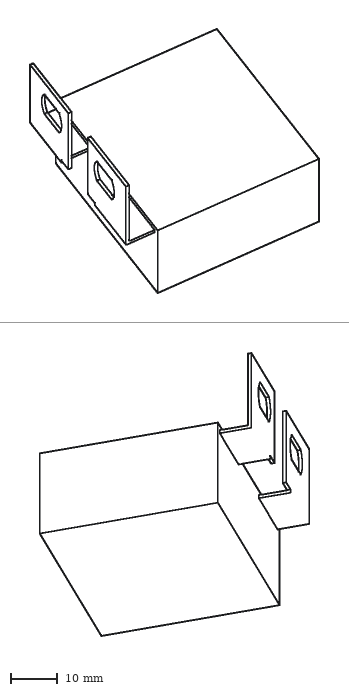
import cadquery as cq

HOUSING_WIDTH = 43.0
HOUSING_DEPTH = 40.05
HOUSING_HEIGHT = 20.35

OVERALL_DEPTH = 47.2
OVERALL_HEIGHT = 37.4
SHEET_THICKNESS = 0.8
BEND_RADIUS = 0.2
EDGE_INSET = 1.3
LEG_WIDTH = 13.1
LEG_TOP_DROP = 1.15
PLATE_WIDTH = 16.15

HOLE_WIDTH = 8.4
HOLE_HEIGHT = 6.3
HOLE_FLAT_LENGTH = 6.25
HOLE_TOP_DROP = 6.95
HOLE_INSET = 9.1

REACH = OVERALL_DEPTH - HOUSING_DEPTH
LEG_TOP = HOUSING_HEIGHT - LEG_TOP_DROP
LEG_BOTTOM = LEG_TOP - SHEET_THICKNESS
OUTER_EDGE = -HOUSING_WIDTH / 2 + EDGE_INSET


def make_housing():
    return cq.Workplane("XY").box(
        HOUSING_WIDTH, HOUSING_DEPTH, HOUSING_HEIGHT, centered=(True, False, False)
    )


def make_bent_strip():
    """L-shaped strip as wide as the leg, rounded inside and outside the bend."""
    plate_back = SHEET_THICKNESS - REACH
    return (
        cq.Workplane("YZ", origin=(OUTER_EDGE, 0, 0))
        .moveTo(0, LEG_BOTTOM)
        .lineTo(BEND_RADIUS - REACH, LEG_BOTTOM)
        .radiusArc((-REACH, LEG_BOTTOM + BEND_RADIUS), BEND_RADIUS)
        .lineTo(-REACH, OVERALL_HEIGHT)
        .lineTo(plate_back, OVERALL_HEIGHT)
        .lineTo(plate_back, LEG_TOP + BEND_RADIUS)
        .radiusArc((plate_back + BEND_RADIUS, LEG_TOP), -BEND_RADIUS)
        .lineTo(0, LEG_TOP)
        .close()
        .extrude(LEG_WIDTH)
    )


def make_plate_extension():
    """Inner part of the upright plate, which overhangs the leg and ends level with its top."""
    return cq.Workplane("XY", origin=(OUTER_EDGE + LEG_WIDTH, -REACH, LEG_TOP)).box(
        PLATE_WIDTH - LEG_WIDTH, SHEET_THICKNESS, OVERALL_HEIGHT - LEG_TOP, centered=False
    )


def make_hole_cutter():
    half_width = HOLE_WIDTH / 2
    half_height = HOLE_HEIGHT / 2
    half_flat = HOLE_FLAT_LENGTH / 2
    hole_centre = (OUTER_EDGE + HOLE_INSET, -REACH, OVERALL_HEIGHT - HOLE_TOP_DROP)
    return (
        cq.Workplane("XZ", origin=hole_centre)
        .moveTo(-half_flat, half_height)
        .lineTo(half_flat, half_height)
        .threePointArc((half_width, 0), (half_flat, -half_height))
        .lineTo(-half_flat, -half_height)
        .threePointArc((-half_width, 0), (-half_flat, half_height))
        .close()
        .extrude(SHEET_THICKNESS, both=True)
    )


def make_terminal(mirrored):
    """Terminal on the -X side, or its mirror image on the +X side."""
    terminal = make_bent_strip().union(make_plate_extension()).cut(make_hole_cutter())
    if mirrored:
        terminal = terminal.mirror("YZ")
    return terminal


housing = make_housing()
terminals = [make_terminal(mirrored).val() for mirrored in (False, True)]

result = cq.Compound.makeCompound([housing.val(), *terminals])